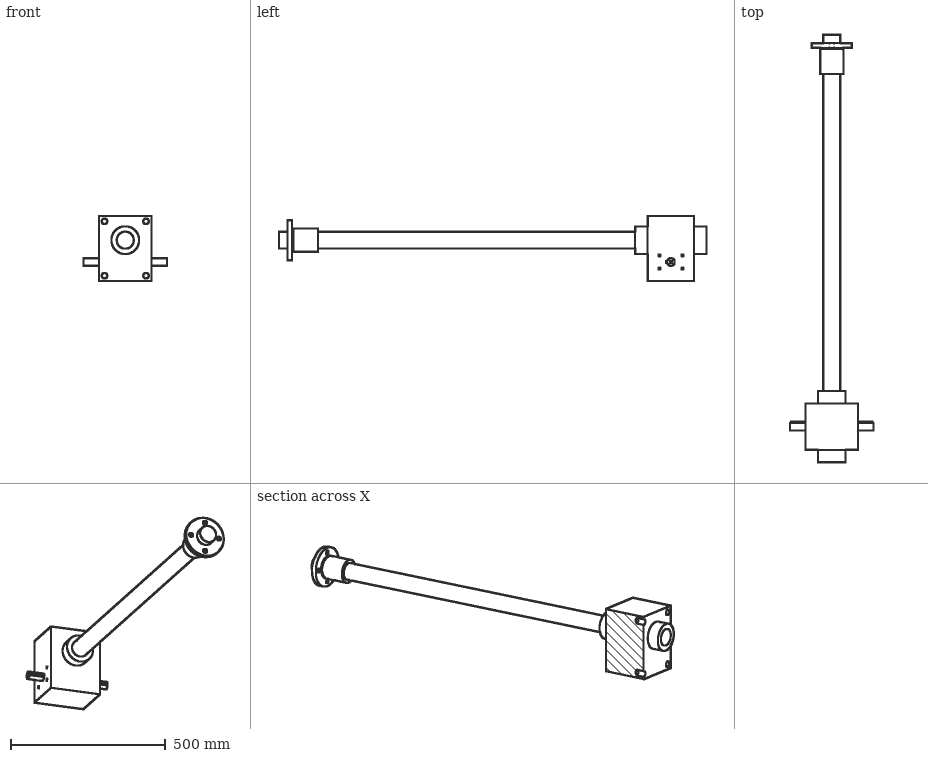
import cadquery as cq
import math


screw_length = 1380.0
screw_diameter = 55.0

housing_width = 170.0
housing_depth = 150.0
housing_height = 211.0
housing_top = 79.0
boss_diameter = 90.0
boss_length = 40.0
housing_front = boss_length
housing_back = housing_front + housing_depth
housing_bottom = housing_top - housing_height
housing_side = housing_width / 2
housing_center_y = housing_front + housing_depth / 2
housing_center_z = housing_top - housing_height / 2

corner_inset = 18.0
corner_hole_diameter = 18.0
corner_hole_depth = 28.0
drill_tip_angle = 118

side_hole_diameter = 6.6
side_hole_depth = 14.0
side_hole_spacing_y = 75.0
side_hole_spacing_z = 43.0

span_across_stubs = 270.0
stub_length = (span_across_stubs - housing_width) / 2
stub_diameter = 25.0
stub_height = 62.0
stub_z = housing_bottom + stub_height
center_hole_diameter = 6.6
center_hole_depth = 14.0
key_width = 7.0
key_rise = 3.5
key_end_gap = 4.0
key_length = stub_length - key_end_gap
key_depth = stub_diameter / 2 + key_rise

nut_diameter = 76.0
nut_body_length = 84.0
flange_diameter = 130.0
flange_thickness = 15.0
nut_end_gap = 28.0
flange_back = screw_length - nut_end_gap
flange_front = flange_back - flange_thickness
nut_front = flange_front - nut_body_length
flange_hole_diameter = 13.0
flange_hole_count = 4
flange_hole_circle_radius = 48.0
undercut_width = 4.0
undercut_depth = 3.0


def rod_along_y(diameter, y_start, y_end, x=0, z=0):
    """Cylinder along Y between two Y positions."""
    plane = cq.Plane(origin=(x, y_start, z), xDir=(1, 0, 0), normal=(0, 1, 0))
    return cq.Workplane(plane).circle(diameter / 2).extrude(y_end - y_start)


def rod_along_x(diameter, x_start, length, y, z):
    """Cylinder along +X that starts at x_start."""
    plane = cq.Plane(origin=(x_start, y, z), xDir=(0, 1, 0), normal=(1, 0, 0))
    return cq.Workplane(plane).circle(diameter / 2).extrude(length)


def make_screw():
    return rod_along_y(screw_diameter, 0, screw_length)


def make_corner_hole():
    """Cutter for a blind hole with a conical tip, running along +Y from the origin."""
    radius = corner_hole_diameter / 2
    tip_length = radius / math.tan(math.radians(drill_tip_angle / 2))
    profile = [
        (0, 0),
        (radius, 0),
        (radius, corner_hole_depth),
        (0, corner_hole_depth + tip_length),
    ]
    return cq.Workplane("XY").polyline(profile).close().revolve(360, (0, 0, 0), (0, 1, 0))


def cut_corner_holes(body):
    hole = make_corner_hole()
    for side in (-1, 1):
        for level in (-1, 1):
            x = side * (housing_side - corner_inset)
            z = housing_center_z + level * (housing_height / 2 - corner_inset)
            body = body.cut(hole.translate((x, housing_front, z)))
    return body


def cut_side_holes(body):
    for x_start in (-housing_side, housing_side - side_hole_depth):
        for side in (-1, 1):
            for level in (-1, 1):
                y = housing_center_y + side * side_hole_spacing_y / 2
                z = stub_z + level * side_hole_spacing_z / 2
                body = body.cut(rod_along_x(side_hole_diameter, x_start, side_hole_depth, y, z))
    return body


def make_housing():
    body = cq.Workplane("XY").box(housing_width, housing_depth, housing_height)
    body = body.translate((0, housing_center_y, housing_center_z))
    boss_back = housing_back + boss_length
    body = body.union(rod_along_y(boss_diameter, 0, boss_back))
    body = body.cut(rod_along_y(screw_diameter, 0, boss_back))
    body = cut_corner_holes(body)
    return cut_side_holes(body)


def make_drive_stub():
    """Keyed stub on the +X side of the housing, with a centre hole in its end."""
    tip_x = housing_side + stub_length
    stub = rod_along_x(stub_diameter, housing_side, stub_length, housing_center_y, stub_z)
    key = cq.Workplane("XY").box(key_length, key_depth, key_width)
    key = key.translate((housing_side + key_length / 2, housing_center_y + key_depth / 2, stub_z))
    center_hole = rod_along_x(
        center_hole_diameter, tip_x - center_hole_depth, center_hole_depth, housing_center_y, stub_z
    )
    return stub.union(key).cut(center_hole)


def make_nut():
    neck_front = flange_front - undercut_width
    neck_diameter = nut_diameter - 2 * undercut_depth
    nut = rod_along_y(nut_diameter, nut_front, neck_front)
    nut = nut.union(rod_along_y(neck_diameter, neck_front, flange_front))
    nut = nut.union(rod_along_y(flange_diameter, flange_front, flange_back))
    nut = nut.cut(rod_along_y(screw_diameter, nut_front, flange_back))
    for i in range(flange_hole_count):
        angle = 2 * math.pi * i / flange_hole_count
        x = flange_hole_circle_radius * math.cos(angle)
        z = flange_hole_circle_radius * math.sin(angle)
        nut = nut.cut(rod_along_y(flange_hole_diameter, flange_front, flange_back, x, z))
    return nut


screw = make_screw()
housing = make_housing()
nut = make_nut()

right_stub = make_drive_stub()
drive_stubs = [right_stub, right_stub.mirror("YZ")]

result = cq.Compound.makeCompound(
    [screw.val(), housing.val(), nut.val()] + [stub.val() for stub in drive_stubs]
)